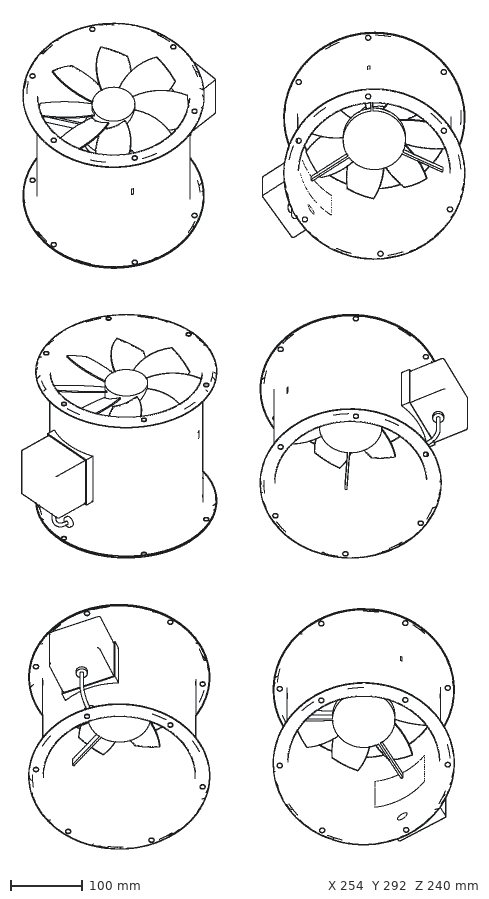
import cadquery as cq
import math

overall_depth = 292.0
casing_height = 240.0
casing_radius = 107.5
sheet_thickness = 1.2
flange_radius = 127.0
bend_radius = 5.5
bolt_circle_radius = 117.7
bolt_hole_diameter = 7.3
bolt_count = 6

hub_radius = 30.0
hub_bottom = 191.0
hub_rim = 215.2
hub_crown = 1.8
blade_count = 8
blade_tip_radius = 104.8
blade_root_radius = 26.3
blade_belly_radius = 63.7
blade_tip_half_width = 18.7
blade_belly_half_width = 24.5
blade_root_half_width = 16.5
blade_pitch = 30.0
blade_thickness = 1.8
blade_height = 201.5

motor_radius = 43.8
strut_count = 3
strut_top = 154.5
strut_height = 12.3
strut_thickness = 3.0

saddle_width = 80.5
saddle_outer_y = 112.0
box_width = 76.5
box_edge_fillet = 3.2

cable_radius = 2.5
cable_bend_radius = 22.8
cable_drop_y = 137.0
cable_entry_height = 25.0
gland_radius = 8.0
gland_height = 5.0
gland_edge_fillet = 2.0

casing_inner_radius = casing_radius - sheet_thickness
mid_height = casing_height / 2
box_bottom = mid_height - box_width / 2
box_outer_y = overall_depth - flange_radius
inner_bend_radius = bend_radius - sheet_thickness
arc_mid = math.sqrt(0.5)


def build_flange(face_z, inward):
    """Sheet ring rolled out from the tube end at face_z with a turned-back lip.

    inward is +1 or -1, the direction along Z from the flange face into the casing.
    """
    neck_r = casing_inner_radius + bend_radius
    lip_r = flange_radius - bend_radius

    def point(center_r, offset_r, offset_depth):
        return (center_r + offset_r, face_z + inward * (bend_radius + offset_depth))

    outer_mid = bend_radius * arc_mid
    inner_mid = inner_bend_radius * arc_mid
    profile = (
        cq.Workplane("XZ")
        .moveTo(*point(neck_r, -bend_radius, 0))
        .threePointArc(point(neck_r, -outer_mid, -outer_mid), point(neck_r, 0, -bend_radius))
        .lineTo(*point(lip_r, 0, -bend_radius))
        .threePointArc(point(lip_r, outer_mid, -outer_mid), point(lip_r, bend_radius, 0))
        .lineTo(*point(lip_r, inner_bend_radius, 0))
        .threePointArc(point(lip_r, inner_mid, -inner_mid), point(lip_r, 0, -inner_bend_radius))
        .lineTo(*point(neck_r, 0, -inner_bend_radius))
        .threePointArc(point(neck_r, -inner_mid, -inner_mid), point(neck_r, -inner_bend_radius, 0))
        .close()
    )
    return profile.revolve(360, (0, 0, 0), (0, 1, 0))


def build_casing():
    """Tube with a drilled flange rolled out at each end."""
    tube = (
        cq.Workplane("XY", origin=(0, 0, bend_radius))
        .circle(casing_radius)
        .circle(casing_inner_radius)
        .extrude(casing_height - 2 * bend_radius)
    )
    bolt_holes = (
        cq.Workplane("XY")
        .polarArray(bolt_circle_radius, 360 / bolt_count / 2, 360, bolt_count)
        .circle(bolt_hole_diameter / 2)
        .extrude(casing_height)
    )
    bottom_flange = build_flange(0, 1)
    top_flange = build_flange(casing_height, -1)
    return tube.union(bottom_flange).union(top_flange).cut(bolt_holes)


def build_blade():
    """Flat blade along +X, tilted about its own centre line so its +Y edge is the higher one."""
    stretch = 1 / math.cos(math.radians(blade_pitch))
    root = blade_root_half_width * stretch
    belly = blade_belly_half_width * stretch
    tip = blade_tip_half_width * stretch
    tip_corner_r = math.sqrt(blade_tip_radius**2 - blade_tip_half_width**2)
    outline = (
        cq.Workplane("XY")
        .moveTo(blade_root_radius, -root)
        .threePointArc((blade_belly_radius, -belly), (tip_corner_r, -tip))
        .threePointArc((blade_tip_radius, 0), (tip_corner_r, tip))
        .threePointArc((blade_belly_radius, belly), (blade_root_radius, root))
        .close()
    )
    blade = outline.extrude(blade_thickness / 2, both=True)
    return blade.rotate((0, 0, 0), (1, 0, 0), blade_pitch).translate((0, 0, blade_height))


def build_impeller():
    """Hub with a shallow domed cap and a ring of flat pitched blades."""
    dome_radius = (hub_radius**2 + hub_crown**2) / (2 * hub_crown)
    dome_center = hub_rim + hub_crown - dome_radius
    dome_mid_r = hub_radius / 2
    dome_mid = (dome_mid_r, dome_center + math.sqrt(dome_radius**2 - dome_mid_r**2))
    impeller = (
        cq.Workplane("XZ")
        .moveTo(0, hub_bottom)
        .lineTo(hub_radius, hub_bottom)
        .lineTo(hub_radius, hub_rim)
        .threePointArc(dome_mid, (0, hub_rim + hub_crown))
        .close()
        .revolve(360, (0, 0, 0), (0, 1, 0))
    )
    blade = build_blade()
    for index in range(blade_count):
        angle = index * 360 / blade_count
        impeller = impeller.union(blade.rotate((0, 0, 0), (0, 0, 1), angle))
    return impeller


def build_motor_mount():
    """Round motor body held by radial struts that end against the casing's inner wall."""
    strut_bottom = strut_top - strut_height
    base = cq.Workplane("XY").workplane(offset=strut_bottom)
    mount = base.circle(motor_radius).extrude(strut_height)
    strut = base.rect(casing_radius, strut_thickness).extrude(strut_height)
    strut = strut.translate((casing_radius / 2, 0, 0))
    for index in range(strut_count):
        angle = 90 + index * 360 / strut_count
        mount = mount.union(strut.rotate((0, 0, 0), (0, 0, 1), angle))
    bore = cq.Workplane("XY").circle(casing_inner_radius).extrude(casing_height)
    return mount.intersect(bore)


def casing_envelope():
    """Solid cylinder filling the casing's outer diameter."""
    return cq.Workplane("XY").circle(casing_radius).extrude(casing_height)


def build_saddle():
    """Square pad whose inner side is hollowed to sit on the casing."""
    pad = (
        cq.Workplane("XZ", origin=(0, 0, mid_height))
        .rect(saddle_width, saddle_width)
        .extrude(-saddle_outer_y)
    )
    return pad.cut(casing_envelope())


def build_terminal_box():
    """Square box on the saddle, rounded around its outer face."""
    box = (
        cq.Workplane("XZ", origin=(0, saddle_outer_y, mid_height))
        .rect(box_width, box_width)
        .extrude(saddle_outer_y - box_outer_y)
    )
    return box.faces(">Y").edges().fillet(box_edge_fillet)


def build_cable():
    """Cable with a gland at each end, bent from the box underside into the casing wall."""
    bend_top = cable_entry_height + cable_bend_radius
    bend_end_y = cable_drop_y - cable_bend_radius
    bend_mid = (
        bend_end_y + cable_bend_radius * arc_mid,
        bend_top - cable_bend_radius * arc_mid,
    )
    path = (
        cq.Workplane("YZ")
        .moveTo(cable_drop_y, box_bottom)
        .lineTo(cable_drop_y, bend_top)
        .threePointArc(bend_mid, (bend_end_y, cable_entry_height))
        .lineTo(casing_inner_radius, cable_entry_height)
    )
    cable = (
        cq.Workplane("XY", origin=(0, cable_drop_y, box_bottom))
        .circle(cable_radius)
        .sweep(path)
    )
    box_gland = (
        cq.Workplane("XY", origin=(0, cable_drop_y, box_bottom))
        .circle(gland_radius)
        .extrude(-gland_height)
    )
    casing_gland = (
        cq.Workplane("XZ", origin=(0, saddle_outer_y, cable_entry_height))
        .circle(gland_radius)
        .extrude(saddle_outer_y - casing_inner_radius)
        .faces(">Y")
        .edges()
        .fillet(gland_edge_fillet)
    )
    return cable.union(box_gland).union(casing_gland).cut(casing_envelope())


motor_mount = build_motor_mount()
casing = build_casing()
impeller = build_impeller()
saddle = build_saddle()
terminal_box = build_terminal_box()
cable = build_cable()

result = cq.Compound.makeCompound(
    [
        casing.val(),
        impeller.val(),
        motor_mount.val(),
        saddle.val(),
        terminal_box.val(),
        cable.val(),
    ]
)